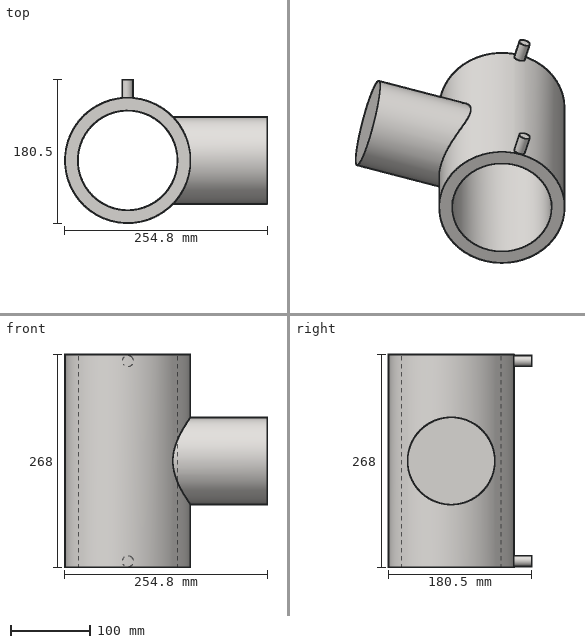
import cadquery as cq

sleeve_height = 268.0
sleeve_diameter = 158.0
bore_diameter = 125.2

branch_diameter = 110.0
branch_reach = 175.8

pin_diameter = 14.0
pin_reach = 101.5
pin_end_offset = 8.0


def make_sleeve():
    return cq.Workplane("XY").circle(sleeve_diameter / 2).extrude(sleeve_height)


def make_branch():
    return (
        cq.Workplane("YZ")
        .center(0, sleeve_height / 2)
        .circle(branch_diameter / 2)
        .extrude(branch_reach)
    )


def make_pin(height):
    return cq.Workplane("XZ").center(0, height).circle(pin_diameter / 2).extrude(-pin_reach)


body = make_sleeve().union(make_branch())
for pin_height in (pin_end_offset, sleeve_height - pin_end_offset):
    body = body.union(make_pin(pin_height))

bore = cq.Workplane("XY").circle(bore_diameter / 2).extrude(sleeve_height)
result = body.cut(bore)